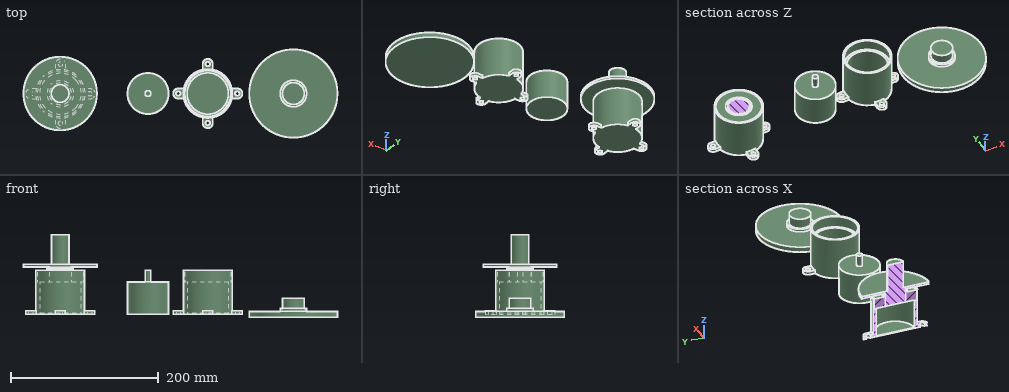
import cadquery as cq

ASSEMBLY_X = 0.0
MOTOR_X = 119.0
HOUSING_X = 200.0
TURNTABLE_X = 316.0

MOTOR_DIAMETER = 56.0
MOTOR_HEIGHT = 44.0
SHAFT_DIAMETER = 8.0
SHAFT_LENGTH = 16.0

BEARING_DIAMETER = 62.2
BEARING_HEIGHT = 16.0
BEARING_BORE = 30.0
INNER_RING_DIAMETER = 36.0
INNER_RING_RISE = 2.0

HOUSING_DIAMETER = 66.4
FLOOR_THICKNESS = 2.0
MOTOR_BORE = MOTOR_DIAMETER
HOUSING_HEIGHT = 60.0
SEAT_Z = HOUSING_HEIGHT - BEARING_HEIGHT

LUG_COUNT = 4
LUG_RADIUS = 7.0
LUG_HOLE_DIAMETER = 6.0
LUG_HOLE_OFFSET = 40.0
LUG_THICKNESS = 5.0

SPOOL_DIAMETER = 100.0
SPOOL_THICKNESS = 4.0
SPOOL_GAP = 4.0
SPOOL_BOTTOM = HOUSING_HEIGHT + SPOOL_GAP
SPINDLE_DIAMETER = 24.0
SPINDLE_LENGTH = 40.0
HUB_DIAMETER = 29.7

TURNTABLE_DIAMETER = 120.0
TURNTABLE_THICKNESS = 8.0
TURNTABLE_BOTTOM = -4.0
SHOULDER_DIAMETER = 36.0
SHOULDER_HEIGHT = 4.0
BOSS_DIAMETER = HUB_DIAMETER
BOSS_HEIGHT = 14.0


def cylinder(x, z, diameter, height):
    """Upright cylinder on the row's centre line, standing on height z."""
    return cq.Workplane("XY", origin=(x, 0, z)).circle(diameter / 2).extrude(height)


def make_housing(x):
    """Closed-bottom cup with four drilled lugs and a stepped bore."""
    body = cylinder(x, 0, HOUSING_DIAMETER, HOUSING_HEIGHT)
    for index in range(LUG_COUNT):
        lug = (
            cq.Workplane("XY")
            .moveTo(0, -LUG_RADIUS)
            .lineTo(LUG_HOLE_OFFSET, -LUG_RADIUS)
            .threePointArc((LUG_HOLE_OFFSET + LUG_RADIUS, 0), (LUG_HOLE_OFFSET, LUG_RADIUS))
            .lineTo(0, LUG_RADIUS)
            .close()
            .moveTo(LUG_HOLE_OFFSET, 0)
            .circle(LUG_HOLE_DIAMETER / 2)
            .extrude(LUG_THICKNESS)
        )
        angle = index * 360 / LUG_COUNT
        body = body.union(lug.rotate((0, 0, 0), (0, 0, 1), angle).translate((x, 0, 0)))
    body = body.cut(cylinder(x, FLOOR_THICKNESS, MOTOR_BORE, HOUSING_HEIGHT))
    return body.cut(cylinder(x, SEAT_Z, BEARING_DIAMETER, BEARING_HEIGHT))


def make_motor(x):
    """Motor can with its output shaft."""
    shaft = cylinder(x, MOTOR_HEIGHT, SHAFT_DIAMETER, SHAFT_LENGTH)
    return cylinder(x, 0, MOTOR_DIAMETER, MOTOR_HEIGHT).union(shaft)


def make_bearing(x):
    """Ring seated in the housing, its inner ring raised above the rim."""
    ring = cylinder(x, SEAT_Z, BEARING_DIAMETER, BEARING_HEIGHT)
    inner_ring = cylinder(x, SEAT_Z, INNER_RING_DIAMETER, BEARING_HEIGHT + INNER_RING_RISE)
    bore = cylinder(x, SEAT_Z, BEARING_BORE, BEARING_HEIGHT + INNER_RING_RISE)
    return ring.union(inner_ring).cut(bore)


def make_spool(x):
    """Disc with the spindle on top and the bearing hub below."""
    hub = cylinder(x, SEAT_Z, HUB_DIAMETER, SPOOL_BOTTOM - SEAT_Z)
    disc = cylinder(x, SPOOL_BOTTOM, SPOOL_DIAMETER, SPOOL_THICKNESS)
    spindle = cylinder(x, SPOOL_BOTTOM + SPOOL_THICKNESS, SPINDLE_DIAMETER, SPINDLE_LENGTH)
    return hub.union(disc).union(spindle)


def make_turntable(x):
    """Thick disc carrying a shoulder and a smaller boss."""
    shoulder_z = TURNTABLE_BOTTOM + TURNTABLE_THICKNESS
    disc = cylinder(x, TURNTABLE_BOTTOM, TURNTABLE_DIAMETER, TURNTABLE_THICKNESS)
    shoulder = cylinder(x, shoulder_z, SHOULDER_DIAMETER, SHOULDER_HEIGHT)
    boss = cylinder(x, shoulder_z + SHOULDER_HEIGHT, BOSS_DIAMETER, BOSS_HEIGHT)
    return disc.union(shoulder).union(boss)


housings = [make_housing(x) for x in (ASSEMBLY_X, HOUSING_X)]
bearing = make_bearing(ASSEMBLY_X)
spool = make_spool(ASSEMBLY_X)
motor = make_motor(MOTOR_X)
turntable = make_turntable(TURNTABLE_X)

result = cq.Compound.makeCompound(
    [housing.val() for housing in housings]
    + [bearing.val(), spool.val(), motor.val(), turntable.val()]
)